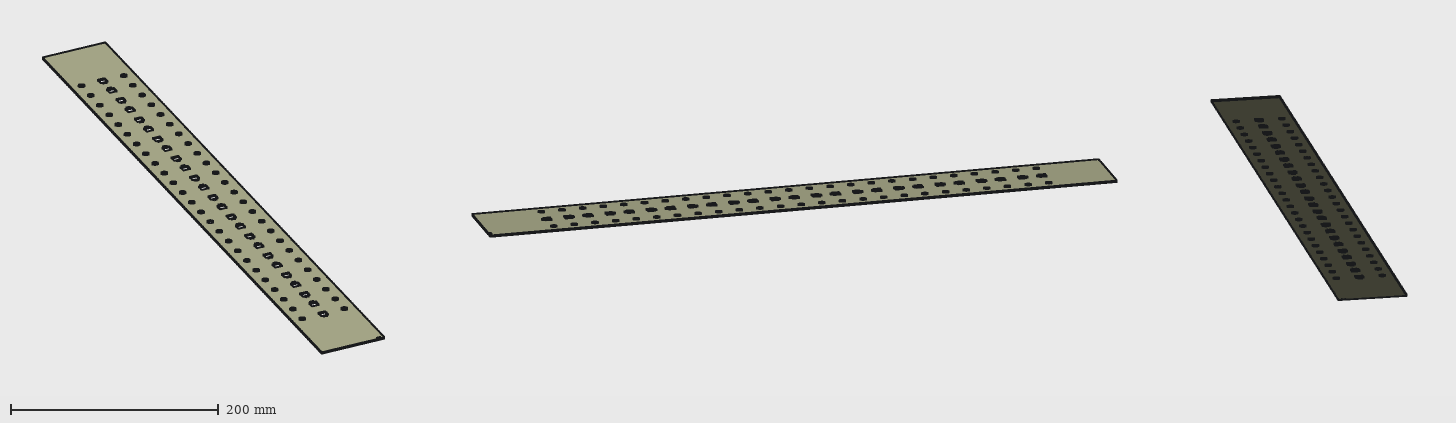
import cadquery as cq

length = 625.5
width = 67.0
thickness = 1.6

station_count = 25
first_station_x = 65.0
station_span = 494
station_pitch = station_span / (station_count - 1)
middle_row_y = 33.0

round_hole_diameter = 5.8
round_hole_row_offset = 22.5

slit_width = 1.0
slit_length = 4.0
slit_offset = 5.0
corner_slit_right_inset = 2.0
corner_slit_back_inset = 5.3

window_length = 7.0
window_width = 7.5
window_corner_radius = slit_width / 2

station_xs = [first_station_x + i * station_pitch for i in range(station_count)]


def round_holes():
    """Cutters for the front and back rows of round holes."""
    points = []
    for side in (-1, 1):
        row_y = middle_row_y + side * round_hole_row_offset
        points += [(x, row_y) for x in station_xs]
    return cq.Workplane("XY").pushPoints(points).circle(round_hole_diameter / 2).extrude(thickness)


def windows():
    """Cutters for the rounded windows of the middle row."""
    points = [(x, middle_row_y) for x in station_xs]
    return (
        cq.Workplane("XY")
        .pushPoints(points)
        .rect(window_length, window_width)
        .extrude(thickness)
        .edges("|Z")
        .fillet(window_corner_radius)
    )


def slits():
    """Cutters for the slits: alternately right and left of the windows, and one in the back right corner."""
    points = []
    for i, x in enumerate(station_xs):
        side = 1 if i % 2 == 0 else -1
        points.append((x + side * slit_offset, middle_row_y))
    points.append((length - corner_slit_right_inset, width - corner_slit_back_inset))
    return cq.Workplane("XY").pushPoints(points).slot2D(slit_length, slit_width, 90).extrude(thickness)


strip = cq.Workplane("XY").box(length, width, thickness, centered=False)

result = strip.cut(round_holes()).cut(windows()).cut(slits())